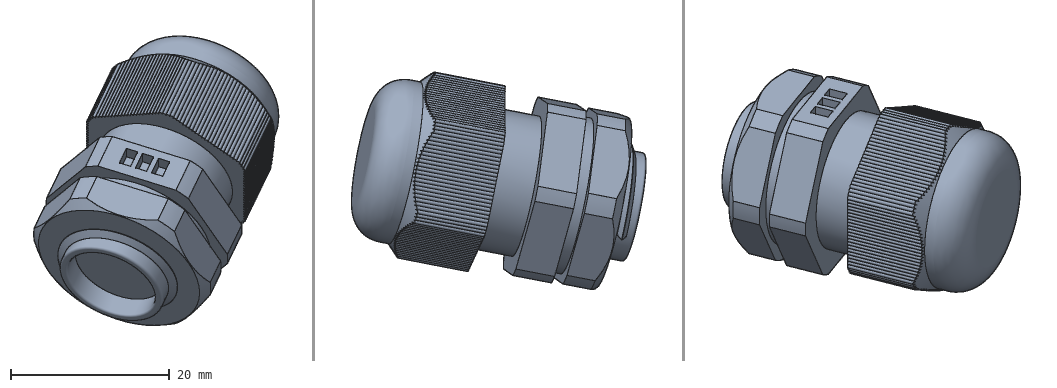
import cadquery as cq
import math


SIDES = 6
SECTOR = 2 * math.pi / SIDES

TOTAL_LENGTH = 34.95
NUT_FRONT = 2.83
NUT_BACK = 7.55
HEX_FRONT = 9.05
HEX_BACK = 14.05
CAP_FRONT = 19.15
CAP_BACK = 29.68

SPIGOT_DIAMETER = 13.9
COLLAR_DIAMETER = 20.0
NECK_DIAMETER = 18.0
DOME_DIAMETER = 20.8
DOME_ROUND = 4.02
TIP_ROUND = 0.3

BORE_DIAMETER = 11.8
BORE_DEPTH = NUT_FRONT
BORE_MOUTH_ROUND = 0.28

HEX_FLATS = 22.13
HEX_CORNER_DIAMETER = 24.5
NUT_FLATS = 21.9
NUT_CORNER_DIAMETER = 23.9
NUT_FACE_DIAMETER = 21.75

POCKET_COUNT = 3
POCKET_WIDTH = 1.5
POCKET_LENGTH = 2.45
POCKET_PITCH = 2.17
POCKET_DEPTH = 1.75
POCKET_OFFSET = 0.17

CAP_FLATS = 21.4
CAP_CORNER_DIAMETER = 23.88
RIBS_PER_FLAT = 20
RIBBED_SPAN = 10.05
RIBS_PER_CORNER = 4
RIB_HEIGHT = 0.227
BEVEL_REACH = 2.1

THREAD_DIAMETER = 15.87
THREAD_PITCH = 1.5
THREAD_START = 1.6
THREAD_TURNS = 1.25
THREAD_HALF_ANGLE = 30.0
THREAD_CREST = 0.07
THREAD_OVERLAP = 0.15


def cylinder(diameter, start, end):
    return cq.Workplane("XY").workplane(offset=start).circle(diameter / 2).extrude(end - start)


def trimmed_hexagon(flats, corner_diameter, start, end):
    """Hexagonal prism with corners on the X axis, trimmed by a cylinder."""
    sharp_diameter = flats / math.cos(SECTOR / 2)
    prism = cq.Workplane("XY").workplane(offset=start).polygon(SIDES, sharp_diameter).extrude(end - start)
    return prism.intersect(cylinder(corner_diameter, start, end))


def make_body():
    """Turned core: bored spigot, collar, neck and domed end."""
    spigot = cylinder(SPIGOT_DIAMETER, 0, NUT_BACK).cut(cylinder(BORE_DIAMETER, 0, BORE_DEPTH))
    spigot = spigot.faces("<Z").edges(cq.selectors.RadiusNthSelector(1)).fillet(TIP_ROUND)
    spigot = spigot.faces("<Z").edges(cq.selectors.RadiusNthSelector(0)).fillet(BORE_MOUTH_ROUND)
    collar = cylinder(COLLAR_DIAMETER, NUT_BACK, HEX_FRONT)
    neck = cylinder(NECK_DIAMETER, HEX_BACK, CAP_FRONT)
    dome = cylinder(DOME_DIAMETER, CAP_FRONT, TOTAL_LENGTH).faces(">Z").edges().fillet(DOME_ROUND)
    return spigot.union(collar).union(neck).union(dome)


def make_nut():
    """Lock nut whose front corners are turned down by a 45 degree cone."""
    nut = trimmed_hexagon(NUT_FLATS, NUT_CORNER_DIAMETER, NUT_FRONT, NUT_BACK)
    chamfer = (NUT_CORNER_DIAMETER - NUT_FACE_DIAMETER) / 2
    envelope = cylinder(NUT_CORNER_DIAMETER, NUT_FRONT, NUT_BACK).faces("<Z").edges().chamfer(chamfer)
    return nut.intersect(envelope)


def make_body_hexagon():
    """Spanner hexagon with a row of pockets in the flat facing -Y, which ends up on top."""
    hexagon = trimmed_hexagon(HEX_FLATS, HEX_CORNER_DIAMETER, HEX_FRONT, HEX_BACK)
    pockets = (
        cq.Workplane("XZ", origin=(0, -HEX_FLATS / 2, (HEX_FRONT + HEX_BACK) / 2 + POCKET_OFFSET))
        .rarray(POCKET_PITCH, 0.35, POCKET_COUNT, 1)
        .rect(POCKET_WIDTH, POCKET_LENGTH)
        .extrude(-POCKET_DEPTH)
    )
    return hexagon.cut(pockets)


def polar(radius, angle):
    return (radius * math.cos(angle), radius * math.sin(angle))


def cap_radius(angle):
    """Radius of the plain cap outline; the first flat faces along X."""
    from_flat = math.remainder(angle, SECTOR)
    return min(CAP_FLATS / 2 / math.cos(from_flat), CAP_CORNER_DIAMETER / 2)


def rib_valley_angles():
    """Angles of the valleys between ribs: even steps along each flat, then around each corner."""
    apothem = CAP_FLATS / 2
    half_span = RIBBED_SPAN / 2
    flat_step = RIBBED_SPAN / RIBS_PER_FLAT
    half_angle = math.atan(half_span / apothem)
    corner_step = (SECTOR - 2 * half_angle) / RIBS_PER_CORNER
    angles = []
    for side in range(SIDES):
        flat_angle = side * SECTOR
        for rib in range(RIBS_PER_FLAT):
            angles.append(flat_angle + math.atan((rib * flat_step - half_span) / apothem))
        for rib in range(RIBS_PER_CORNER):
            angles.append(flat_angle + half_angle + rib * corner_step)
    return angles


def make_cap():
    """Ribbed cap whose rear edge is turned down by a 45 degree bevel to the dome."""
    angles = rib_valley_angles()
    angles.append(angles[0] + 2 * math.pi)

    def valley(angle):
        return polar(cap_radius(angle) - RIB_HEIGHT, angle)

    outline = cq.Workplane("XY").workplane(offset=CAP_FRONT).moveTo(*valley(angles[0]))
    for start, end in zip(angles, angles[1:]):
        middle = (start + end) / 2
        outline = outline.threePointArc(polar(cap_radius(middle), middle), valley(end))
    ribbed = outline.close().extrude(CAP_BACK - CAP_FRONT)
    bevel = (
        cq.Workplane("XZ")
        .polyline([
            (DOME_DIAMETER / 2, CAP_BACK),
            (DOME_DIAMETER / 2 + BEVEL_REACH, CAP_BACK - BEVEL_REACH),
            (DOME_DIAMETER / 2 + BEVEL_REACH, CAP_BACK),
        ])
        .close()
        .revolve(360, (0, 0), (0, 1))
    )
    return ribbed.cut(bevel)


def make_thread():
    """Single ridge that starts underneath and winds into the nut."""
    root = SPIGOT_DIAMETER / 2 - THREAD_OVERLAP
    crest = THREAD_DIAMETER / 2
    half_crest = THREAD_CREST / 2
    half_root = half_crest + (crest - root) * math.tan(math.radians(THREAD_HALF_ANGLE))
    path = cq.Wire.makeHelix(THREAD_PITCH, THREAD_PITCH * THREAD_TURNS, SPIGOT_DIAMETER / 2)
    ridge = (
        cq.Workplane("XZ")
        .polyline([(root, -half_root), (crest, -half_crest), (crest, half_crest), (root, half_root)])
        .close()
        .sweep(cq.Workplane(obj=path), isFrenet=True)
    )
    return ridge.rotate((0, 0, 0), (0, 0, 1), 90).translate((0, 0, THREAD_START))


gland = (
    make_body()
    .union(make_nut())
    .union(make_body_hexagon())
    .union(make_cap())
    .union(make_thread())
)
result = gland.rotate((0, 0, 0), (1, 0, 0), -90)